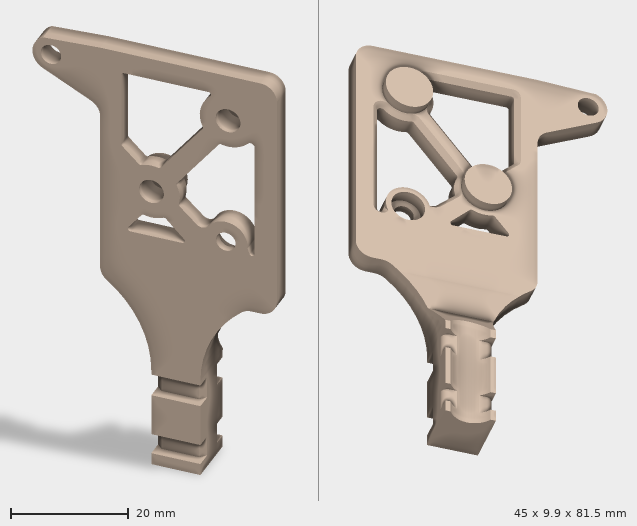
import cadquery as cq
import math


height = 81.5
plate_thickness = 3.9
plate_left = -13.9
plate_right = 18.6
shoulder_z = 35.2
corner_radius = 3.0

ear_x = -23.0
ear_z = 77.9
ear_radius = 3.4
ear_hole_radius = 1.9
ear_top_x = -24.45
ear_root_z = 69.6

stem_width = 9.05
stem_depth = 9.9
flare_z = 18.9
flare_radius = 20.0
slope_bottom_z = 19.8
slope_top_z = 26.2
slope_top_y = 4.5
blend_top_z = 33.4

neck_spans = [(2.2, 6.0), (13.85, 18.0)]
neck_front_depth = 1.95
neck_back_depth = 1.5
neck_chamfer = 1.1
neck_round = 1.2
groove_radius = 4.2
groove_depth = 1.95

upper_boss = (9.6, 72.5)
lower_boss = (-4.5, 54.85)
boss_radius = 4.2
boss_height = 1.95
boss_hole_radius = 2.3
boss_floor = 1.0
boss_back_y = plate_thickness + boss_height
through_hole = (9.2, 48.1)
through_hole_radius = 1.8
counterbore_radius = 3.0
counterbore_floor = 1.5

disc_seam_turn = 135
window_left = -10.0
window_right = 14.5
window_top = 77.4
window_bottom = 45.9
window_radius = 0.5
window_tip_radius = 0.7
window_valley_radius = 1.5
boss_pad_radius = 5.2
hole_pad_radius = 4.0
window_chamfer = 0.9
strut_width = 3.8

left_edge_low = (window_left, 62.8)
left_edge_inner = (-4.6, 57.7)
foot_apex = (window_right, 44.0)
foot_inner = (12.5, 49.8)
valley_edge_right = (6.5, 47.8)
valley_edge_left = (-0.4, 54.1)
triangle_left = (-9.4, window_bottom)
triangle_apex = (-4.15, 52.3)
triangle_right = (2.4, window_bottom)

tip_corner = (window_right, 70.9)
valley_corner = (5.4, 48.7)
tight_corners = [foot_apex, (13.3, 47.7), (8.0, 67.65), (0.0, 57.7), (0.4, 53.1)]


def front_plane(x=0.0, y=0.0, z=0.0):
    """Workplane facing the front, at the given place; extrusions from it go towards -Y."""
    return cq.Workplane("XZ", origin=(x, y, z))


def cylinder(center, radius, y_start, y_end):
    x, z = center
    return front_plane(x, y_start, z).circle(radius).extrude(y_start - y_end)


def round_corner(body, corner, radius):
    """Fillet the edge along Y that lies nearest to the corner (x, z)."""
    x, z = corner
    edge = cq.selectors.NearestToPointSelector((x, stem_depth / 2, z))
    return body.newObject(body.edges("|Y").edges(edge).vals()).fillet(radius)


def flare_half_width(z):
    rise = z - flare_z
    return stem_width / 2 + flare_radius - math.sqrt(flare_radius**2 - rise**2)


def flare_height(half_width):
    run = stem_width / 2 + flare_radius - half_width
    return flare_z + math.sqrt(flare_radius**2 - run**2)


def make_body():
    half_stem = stem_width / 2
    left_flare_z = flare_height(-plate_left)
    right_flare_x = flare_half_width(shoulder_z)
    left_mid_z = (flare_z + left_flare_z) / 2
    right_mid_z = (flare_z + shoulder_z) / 2

    reach = math.hypot(plate_left - ear_x, ear_root_z - ear_z)
    bearing = math.atan2(ear_root_z - ear_z, plate_left - ear_x)
    tangent_angle = bearing - math.acos(ear_radius / reach)
    tangent_x = ear_x + ear_radius * math.cos(tangent_angle)
    tangent_z = ear_z + ear_radius * math.sin(tangent_angle)
    ear_top_z = ear_z + math.sqrt(ear_radius**2 - (ear_top_x - ear_x) ** 2)

    body = (
        front_plane()
        .moveTo(-half_stem, 0)
        .lineTo(half_stem, 0)
        .lineTo(half_stem, flare_z)
        .threePointArc((flare_half_width(right_mid_z), right_mid_z), (right_flare_x, shoulder_z))
        .lineTo(plate_right, shoulder_z)
        .lineTo(plate_right, height)
        .lineTo(plate_left, height)
        .lineTo(ear_top_x, ear_top_z)
        .threePointArc((ear_x - ear_radius, ear_z), (tangent_x, tangent_z))
        .lineTo(plate_left, ear_root_z)
        .lineTo(plate_left, left_flare_z)
        .threePointArc((-flare_half_width(left_mid_z), left_mid_z), (-half_stem, flare_z))
        .close()
        .extrude(-stem_depth)
    )
    rounded_corners = [
        (plate_right, height),
        (plate_right, shoulder_z),
        (right_flare_x, shoulder_z),
        (plate_left, left_flare_z),
        (plate_left, ear_root_z),
    ]
    for corner in rounded_corners:
        body = round_corner(body, corner, corner_radius)

    profile = (
        cq.Workplane("YZ")
        .polyline([
            (0, 0),
            (stem_depth, 0),
            (stem_depth, slope_bottom_z),
            (slope_top_y, slope_top_z),
            (plate_thickness, blend_top_z),
            (plate_thickness, height),
            (0, height),
        ])
        .close()
        .extrude(height, both=True)
    )
    return body.intersect(profile)


def make_neck_cut(bottom, top):
    """Ring around the stem: chamfered at the front corners, rounded at the back ones."""
    length = top - bottom
    core_depth = stem_depth - neck_front_depth - neck_back_depth
    core_y = neck_front_depth + core_depth / 2
    block = cq.Workplane("XY", origin=(0, stem_depth / 2, bottom))
    block = block.rect(stem_width, stem_depth).extrude(length)
    core = cq.Workplane("XY", origin=(0, core_y, bottom))
    core = core.rect(stem_width, core_depth).extrude(length)
    core = core.edges("|Z and <Y").chamfer(neck_chamfer)
    core = core.edges("|Z and >Y").fillet(neck_round)
    return block.cut(core)


def make_groove():
    center_y = stem_depth - groove_depth + groove_radius
    return cq.Workplane("XY", origin=(0, center_y, 0)).circle(groove_radius).extrude(height)


def make_window(points):
    """Opening through the plate, less the discs of material kept around bosses and through hole."""
    window = front_plane().polyline(points).close().extrude(-stem_depth)
    for center, radius in [
        (upper_boss, boss_pad_radius),
        (lower_boss, boss_pad_radius),
        (through_hole, hole_pad_radius),
    ]:
        x, z = center
        disc = cylinder(center, radius, 0, stem_depth)
        disc = disc.rotate((x, 0, z), (x, 1, z), disc_seam_turn)
        window = window.cut(disc)
    return window


def make_large_windows():
    """Openings on either side of the strut that joins the two bosses."""
    run = upper_boss[0] - lower_boss[0]
    rise = upper_boss[1] - lower_boss[1]
    span = math.hypot(run, rise)
    side_x = strut_width / 2 * rise / span
    side_z = strut_width / 2 * run / span

    left = make_window([
        (window_left, window_top),
        (upper_boss[0], window_top),
        (upper_boss[0] - side_x, upper_boss[1] + side_z),
        (lower_boss[0] - side_x, lower_boss[1] + side_z),
        left_edge_inner,
        left_edge_low,
    ])
    left = left.edges("|Y").fillet(window_radius)

    right = make_window([
        upper_boss,
        (window_right, upper_boss[1]),
        foot_apex,
        foot_inner,
        valley_edge_right,
        valley_edge_left,
        (lower_boss[0] + side_x, lower_boss[1] - side_z),
        (upper_boss[0] + side_x, upper_boss[1] - side_z),
    ])
    right = round_corner(right, tip_corner, window_tip_radius)
    right = round_corner(right, valley_corner, window_valley_radius)
    for corner in tight_corners:
        right = round_corner(right, corner, window_radius)
    return left.union(right)


def make_small_window():
    """Triangular opening under the lower boss."""
    window = make_window([triangle_left, triangle_apex, triangle_right])
    return window.edges("|Y").fillet(window_radius)


def chamfer_windows(body):
    """Bevel the back edges of the windows, the inner outlines of the plate's flat back face."""
    back = body.faces("+Y").faces(">Z")
    rims = [edge for wire in back.val().innerWires() for edge in wire.Edges()]
    return body.newObject(rims).chamfer(window_chamfer)


result = make_body()
result = result.cut(make_large_windows())
result = chamfer_windows(result)
result = result.cut(make_small_window())

for boss in (upper_boss, lower_boss):
    result = result.union(cylinder(boss, boss_radius, 0, boss_back_y))
    result = result.cut(cylinder(boss, boss_hole_radius, 0, boss_back_y - boss_floor))

result = result.union(cylinder(through_hole, hole_pad_radius, 0, plate_thickness))
result = result.cut(cylinder((ear_x, ear_z), ear_hole_radius, 0, plate_thickness))
result = result.cut(cylinder(through_hole, through_hole_radius, 0, plate_thickness))
result = result.cut(cylinder(through_hole, counterbore_radius, counterbore_floor, plate_thickness))

for bottom, top in neck_spans:
    result = result.cut(make_neck_cut(bottom, top))
result = result.cut(make_groove())